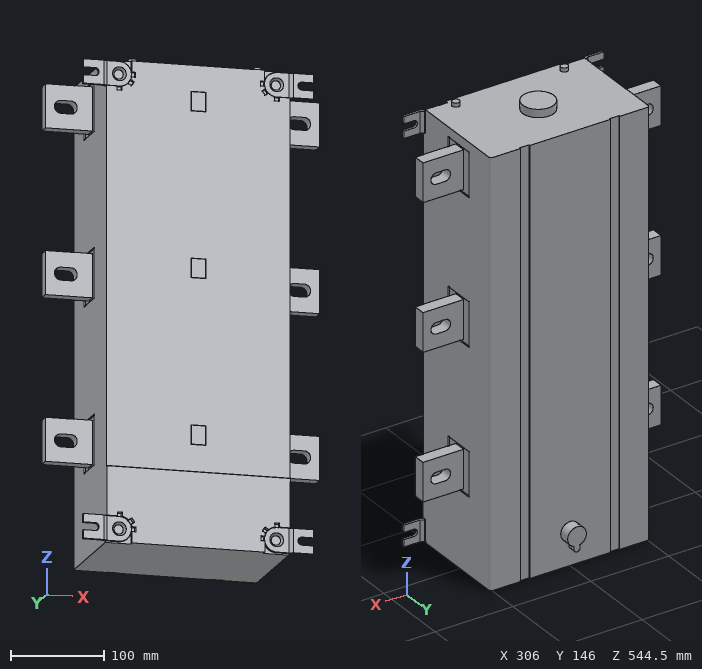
import cadquery as cq

body_width = 205.0
body_height = 534.0
body_front = 1.5
body_back = 132.5
back_edge_radius = 3.0
half_width = body_width / 2

cover_height = 84.0
window_width = 16.5
window_height = 21.0

middle_pole_z = 309.5
pole_pitch = 184.5
pole_y = 70.0
terminal_span = 306.0
terminal_height = 49.0
terminal_thickness = 15.0
slot_length = 25.0
slot_width = 14.0
slot_x = 130.0
recess_width = 40.5
recess_height = 56.0
recess_depth = 1.5
pole_levels = [middle_pole_z + i * pole_pitch for i in (-1, 0, 1)]

foot_hole_x = 87.5
foot_inset = 15.0
foot_radius = 13.5
foot_end_x = 128.5
foot_thickness = 3.0
foot_offset = 2.0
bend_outer_x = 105.5
bend_inner_x = 101.5
foot_slot_width = 8.5
foot_slot_center_x = 115.5
screw_head_diameter = 15.0
screw_hole_diameter = 10.5
notch_reach = 18.0
notch_width = 5.5
notch_angles = (0, 35, 90)
pocket_floor = foot_offset + foot_thickness

boss_diameter = 40.0
overall_height = 544.5
pin_diameter = 9.0
pin_height = 5.0
pin_x = 69.5
pin_y = 15.0

groove_x = 57.5
groove_width = 12.0
groove_depth = 1.5

overall_depth = 146.0
knob_z = 42.5
knob_diameter = 24.0
pointer_thickness = 10.0
pointer_width = 7.5
pointer_tip_z = 23.5


def block(x_range, y_range, z_range):
    """Box given by its lower and upper limits on each axis."""
    limits = (x_range, y_range, z_range)
    sizes = [high - low for low, high in limits]
    low_corner = tuple(low for low, high in limits)
    return cq.Workplane("XY").box(*sizes, centered=False).translate(low_corner)


def centred_block(x, y_range, z, width, height):
    """Box centred on X and Z, between two Y limits."""
    return block((x - width / 2, x + width / 2), y_range, (z - height / 2, z + height / 2))


def disc_along_y(x, z, diameter, y_range):
    """Round bar along Y."""
    start, end = y_range
    bar = cq.Solid.makeCylinder(diameter / 2, end - start, cq.Vector(x, start, z), cq.Vector(0, 1, 0))
    return cq.Workplane(bar)


def make_body():
    case = block((-half_width, half_width), (body_front, body_back), (0, body_height))
    case = case.edges("|Z and >Y").fillet(back_edge_radius)
    case = case.union(block((-half_width, half_width), (0, body_front), (0, cover_height)))
    for z in pole_levels:
        case = case.union(centred_block(0, (0, body_front), z, window_width, window_height))
    for x in (-groove_x, groove_x):
        groove = block(
            (x - groove_width / 2, x + groove_width / 2),
            (body_back - groove_depth, body_back),
            (0, body_height),
        )
        case = case.cut(groove)
    return case


def make_terminals(z):
    """Flat bar through the enclosure with a slotted hole at each end."""
    y_range = (pole_y - terminal_thickness / 2, pole_y + terminal_thickness / 2)
    bar = centred_block(0, y_range, z, terminal_span, terminal_height)
    slots = (
        cq.Workplane("XZ", origin=(0, y_range[1], z))
        .pushPoints([(-slot_x, 0), (slot_x, 0)])
        .slot2D(slot_length, slot_width)
        .extrude(terminal_thickness)
    )
    return bar.cut(slots)


def make_side_recesses(z):
    """Shallow rectangles in both sides, around the terminals."""
    recesses = block(
        (-half_width, half_width),
        (pole_y - recess_width / 2, pole_y + recess_width / 2),
        (z - recess_height / 2, z + recess_height / 2),
    )
    core_width = body_width - 2 * recess_depth
    core = centred_block(0, (0, body_back), z, core_width, recess_height)
    return recesses.cut(core)


def make_foot():
    """Foot of the lower left corner: a stepped strip with an open slot and a countersunk hole."""
    strip = (
        cq.Workplane("XY", origin=(0, 0, foot_inset - foot_radius))
        .moveTo(-foot_end_x, 0)
        .lineTo(-bend_outer_x, 0)
        .lineTo(-bend_inner_x, foot_offset)
        .lineTo(-foot_hole_x, foot_offset)
        .lineTo(-foot_hole_x, pocket_floor)
        .lineTo(-bend_inner_x - foot_offset, pocket_floor)
        .lineTo(-bend_outer_x - foot_offset, foot_thickness)
        .lineTo(-foot_end_x, foot_thickness)
        .close()
        .extrude(2 * foot_radius)
    )
    inner_y = (foot_offset, pocket_floor)
    strip = strip.union(disc_along_y(-foot_hole_x, foot_inset, 2 * foot_radius, inner_y))

    outer_y = (0, foot_thickness)
    slot_length_to_end = foot_end_x - foot_slot_center_x
    slot_middle_x = -foot_end_x + slot_length_to_end / 2
    strip = strip.cut(centred_block(slot_middle_x, outer_y, foot_inset, slot_length_to_end, foot_slot_width))
    strip = strip.cut(disc_along_y(-foot_slot_center_x, foot_inset, foot_slot_width, outer_y))

    countersink = cq.Solid.makeCone(
        screw_head_diameter / 2,
        screw_hole_diameter / 2,
        foot_thickness,
        cq.Vector(-foot_hole_x, foot_offset, foot_inset),
        cq.Vector(0, 1, 0),
    )
    return strip.cut(cq.Workplane(countersink))


def make_foot_pocket():
    """Pocket for the lower left foot, open to the side and below, with three notches in its rim."""
    y_range = (0, pocket_floor)
    pocket = block((-half_width, -foot_hole_x + foot_radius), y_range, (0, foot_inset))
    pocket = pocket.union(block((-half_width, -foot_hole_x), y_range, (0, foot_inset + foot_radius)))
    pocket = pocket.union(disc_along_y(-foot_hole_x, foot_inset, 2 * foot_radius, y_range))
    axis_start = (-foot_hole_x, 0, foot_inset)
    axis_end = (-foot_hole_x, 1, foot_inset)
    for angle in notch_angles:
        notch = block(
            (-foot_hole_x, -foot_hole_x + notch_reach),
            y_range,
            (foot_inset - notch_width / 2, foot_inset + notch_width / 2),
        )
        pocket = pocket.union(notch.rotate(axis_start, axis_end, -angle))
    return pocket


def at_four_corners(corner_part):
    """The lower left part together with its mirror images in the other corners."""
    lower = corner_part.union(corner_part.mirror("YZ"))
    return lower.union(lower.mirror("XY", (0, 0, body_height / 2)))


def make_top_fittings():
    boss_height = overall_height - body_height
    top = cq.Workplane("XY", origin=(0, 0, body_height))
    boss = top.pushPoints([(0, pole_y)]).circle(boss_diameter / 2).extrude(boss_height)
    pins = top.pushPoints([(-pin_x, pin_y), (pin_x, pin_y)]).circle(pin_diameter / 2).extrude(pin_height)
    return boss.union(pins)


def make_knob():
    """Round knob with a round-ended pointer hanging from its outer end."""
    knob = disc_along_y(0, knob_z, knob_diameter, (body_back, overall_depth))
    pointer_y = (overall_depth - pointer_thickness, overall_depth)
    tip_center_z = pointer_tip_z + pointer_width / 2
    pointer = block((-pointer_width / 2, pointer_width / 2), pointer_y, (tip_center_z, knob_z))
    tip = disc_along_y(0, tip_center_z, pointer_width, pointer_y)
    return knob.union(pointer).union(tip)


result = make_body()
for pole_z in pole_levels:
    result = result.cut(make_side_recesses(pole_z))
    result = result.union(make_terminals(pole_z))
result = result.cut(at_four_corners(make_foot_pocket()))
result = result.union(at_four_corners(make_foot()))
result = result.union(make_top_fittings())
result = result.union(make_knob())